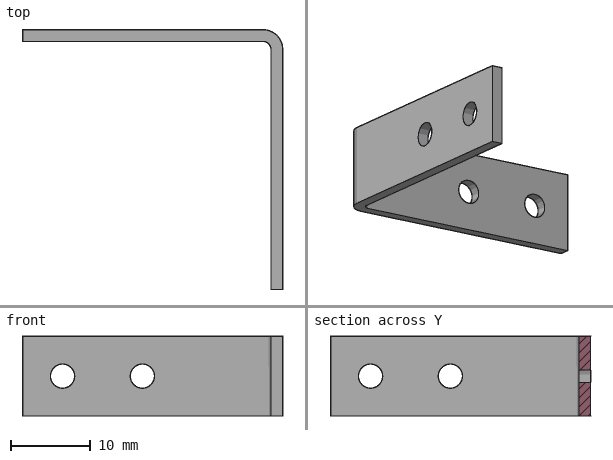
import cadquery as cq

leg_length = 32.6
strip_width = 10.0
thickness = 1.5
inner_bend_radius = 1.0
hole_diameter = 3.0
end_to_first_hole = 5.0
hole_pitch = 10.0
holes_per_leg = 2

outer_bend_radius = inner_bend_radius + thickness
inner_face = leg_length - thickness

hole_height = strip_width / 2
hole_positions = [end_to_first_hole + i * hole_pitch for i in range(holes_per_leg)]


def make_bent_strip():
    """L-shaped strip with a concentric bend, extruded along Z."""
    bend_start = leg_length - outer_bend_radius
    return (
        cq.Workplane("XY")
        .moveTo(0, leg_length)
        .lineTo(bend_start, leg_length)
        .radiusArc((leg_length, bend_start), outer_bend_radius)
        .lineTo(leg_length, 0)
        .lineTo(inner_face, 0)
        .lineTo(inner_face, bend_start)
        .radiusArc((bend_start, inner_face), -inner_bend_radius)
        .lineTo(0, inner_face)
        .close()
        .extrude(strip_width)
    )


def make_hole_cutter(base_point, direction):
    """Cylinder through one leg, from its inner face to its outer face."""
    return cq.Workplane(
        cq.Solid.makeCylinder(
            hole_diameter / 2, thickness, cq.Vector(*base_point), cq.Vector(*direction)
        )
    )


def cut_leg_holes(body):
    """Matching rows of through holes in both legs."""
    for position in hole_positions:
        body = body.cut(make_hole_cutter((position, inner_face, hole_height), (0, 1, 0)))
        body = body.cut(make_hole_cutter((inner_face, position, hole_height), (1, 0, 0)))
    return body


result = cut_leg_holes(make_bent_strip())